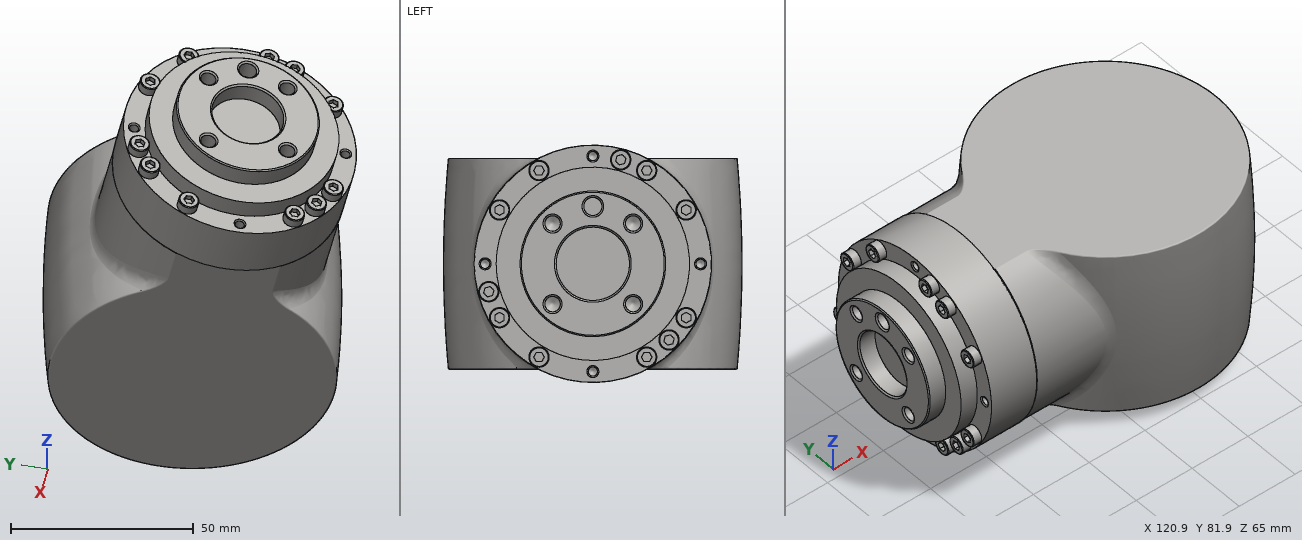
import cadquery as cq
import math

PILOT_DIA = 39.9
RING_DIA = 53.0
FLANGE_DIA = 65.0
RING_X = 5.9
FLANGE_X = 11.7
NECK_X = 27.9
NECK_DIA = 64.7
NECK_CHAMFER = 0.4
PILOT_CHAMFER = 0.4

LENGTH = 120.9
BODY_HEIGHT = 57.8
HEAD_DIA = 81.9
HEAD_END_DIA = 79.2
HEAD_X = LENGTH - HEAD_DIA / 2
HEAD_EDGE_FILLET = 0.5
BLEND_RADIUS = 4.8
EDGE_MARGIN = 1.2

BORE_DIA = 20.1
BORE_DEPTH = RING_X
BORE_CHAMFER = 0.5
TAPPED_CIRCLE_RADIUS = 15.6
TAPPED_DIA = 4.2
TAPPED_DEPTH = 7.3
TAPPED_CHAMFER = 0.5
TAPPED_ANGLES = [45, 135, 225, 315]
PIN_RADIUS = 15.7
PIN_DIA = 5.0
PIN_DEPTH = 6.0
PIN_CHAMFER = 0.5

SCREW_CIRCLE_RADIUS = 29.5
SCREW_ANGLES = [30, 60, 120, 150, 210, 240, 300, 330]
EXTRA_SCREW_ANGLES = [75, 195, 315]
SCREW_HEAD_DIA = 5.6
SCREW_HEAD_HEIGHT = 2.9
SCREW_HEAD_CHAMFER = 0.2
SOCKET_WIDTH = 2.5
SOCKET_CORNER_DIA = SOCKET_WIDTH / math.cos(math.radians(30))
SOCKET_DEPTH = 1.5
JACK_ANGLES = [0, 90, 180, 270]
JACK_DIA = 2.5
JACK_DEPTH = 6.0
JACK_CHAMFER = 0.4

DRILL_TIP_ANGLE = 118


def disc(x, dia, length, y=0.0, z=0.0):
    """Cylinder along +X whose first face is at x."""
    return cq.Workplane("YZ", origin=(x, y, z)).circle(dia / 2).extrude(length)


def on_circle(radius, angle):
    """(y, z) at an angle measured from -Y towards +Z."""
    turn = math.radians(angle)
    return -radius * math.cos(turn), radius * math.sin(turn)


def hole(x, dia, depth, chamfer, place=(0.0, 0.0), pointed=False):
    """Chamfered blind hole cutter, entering at x in the +X direction."""
    radius = dia / 2
    tip = radius / math.tan(math.radians(DRILL_TIP_ANGLE / 2)) if pointed else 0.0
    profile = cq.Workplane("XY").moveTo(0, 0).lineTo(0, radius + chamfer)
    profile = profile.lineTo(chamfer, radius).lineTo(depth, radius).lineTo(depth + tip, 0).close()
    return profile.revolve(360, (0, 0, 0), (1, 0, 0)).translate((x, *place))


def make_body():
    """Barrel head and flat-sided round neck, blended where they meet."""
    half_height = BODY_HEIGHT / 2
    end_radius = HEAD_END_DIA / 2
    head = (
        cq.Workplane("XZ")
        .moveTo(0, -half_height)
        .lineTo(end_radius, -half_height)
        .threePointArc((HEAD_DIA / 2, 0), (end_radius, half_height))
        .lineTo(0, half_height)
        .close()
        .revolve(360, (0, 0, 0), (0, 1, 0))
        .translate((HEAD_X, 0, 0))
    )
    neck = disc(NECK_X, NECK_DIA, HEAD_X - NECK_X).faces("<X").chamfer(NECK_CHAMFER)
    slab = cq.Workplane("XY").box(2 * LENGTH, LENGTH, BODY_HEIGHT)
    body = head.union(neck.intersect(slab))
    start_x = NECK_X + EDGE_MARGIN
    seam_z = half_height - EDGE_MARGIN
    seams = cq.selectors.BoxSelector((start_x, -NECK_DIA, -seam_z), (HEAD_X - EDGE_MARGIN, NECK_DIA, seam_z))
    body = body.edges(seams).fillet(BLEND_RADIUS)
    rims = cq.selectors.BoxSelector((start_x, -LENGTH, -LENGTH), (LENGTH, LENGTH, LENGTH))
    return body.faces("<Z or >Z").edges(rims).fillet(HEAD_EDGE_FILLET)


def make_flange():
    """Flange, ring and pilot, stepping down towards the output face."""
    pilot = disc(0, PILOT_DIA, RING_X).faces("<X").chamfer(PILOT_CHAMFER)
    ring = disc(RING_X, RING_DIA, FLANGE_X - RING_X)
    flange = disc(FLANGE_X, FLANGE_DIA, NECK_X - FLANGE_X)
    return flange.union(ring).union(pilot)


def make_screw_head(angle):
    """Socket-head screw head on the flange face, with a hexagon corner pointing outwards."""
    y, z = on_circle(SCREW_CIRCLE_RADIUS, angle)
    top_x = FLANGE_X - SCREW_HEAD_HEIGHT
    head = disc(top_x, SCREW_HEAD_DIA, SCREW_HEAD_HEIGHT, y, z).faces("<X").chamfer(SCREW_HEAD_CHAMFER)
    socket = (
        cq.Workplane("YZ", origin=(top_x, y, z))
        .transformed(rotate=(0, 0, -angle))
        .polygon(6, SOCKET_CORNER_DIA)
        .extrude(SOCKET_DEPTH)
    )
    return head.cut(socket)


result = make_body().union(make_flange())

result = result.cut(hole(0, BORE_DIA, BORE_DEPTH, BORE_CHAMFER))
result = result.cut(hole(0, PIN_DIA, PIN_DEPTH, PIN_CHAMFER, (0.0, PIN_RADIUS)))
for tapped_angle in TAPPED_ANGLES:
    place = on_circle(TAPPED_CIRCLE_RADIUS, tapped_angle)
    result = result.cut(hole(0, TAPPED_DIA, TAPPED_DEPTH, TAPPED_CHAMFER, place, pointed=True))
for jack_angle in JACK_ANGLES:
    place = on_circle(SCREW_CIRCLE_RADIUS, jack_angle)
    result = result.cut(hole(FLANGE_X, JACK_DIA, JACK_DEPTH, JACK_CHAMFER, place, pointed=True))
for screw_angle in SCREW_ANGLES + EXTRA_SCREW_ANGLES:
    result = result.union(make_screw_head(screw_angle))